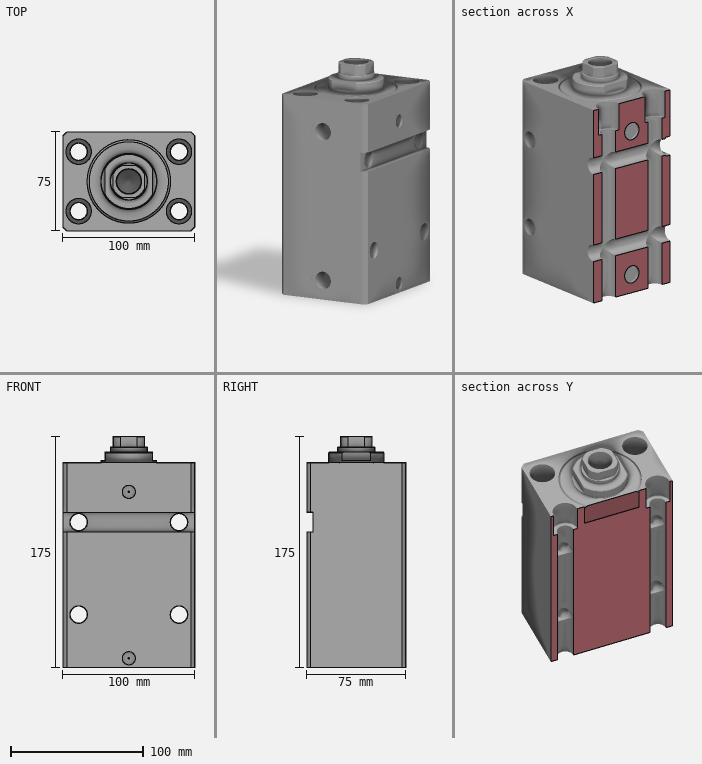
import cadquery as cq
import math

BLOCK_X = 100.0
BLOCK_Y = 75.0
BLOCK_Z = 155.0
CORNER_CHAMFER = 3.0

MOUNT_HOLE_D = 13.0
MOUNT_SPACING_X = 76.0
MOUNT_SPACING_Y = 45.0
COUNTERBORE_D = 19.2
COUNTERBORE_DEPTH = 21.0
LOWER_CROSS_Z = 40.0
UPPER_CROSS_Z = 110.0

SLOT_HEIGHT = 14.9
SLOT_DEPTH = 4.7

SIDE_PORT_HEIGHTS = (14.9, 130.0)
SIDE_PORT_D = 13.5
SIDE_PORT_DEPTH = 14.0
SPOTFACE_D = 20.0
SPOTFACE_DEPTH = 0.09

FRONT_PORT_HEIGHTS = (7.0, 133.0)
FRONT_PORT_D = 10.0
FRONT_PORT_DEPTH = 2.0
FEED_HOLE_D = 1.0
FEED_HOLE_LENGTH = 3.5

GLAND_D = 63.2
GLAND_THICKNESS = 17.5
GLAND_CHAMFER = 1.5
LIP_WIDTH = 0.26
LIP_HEIGHT = 0.4
GLAND_BOTTOM_Z = BLOCK_Z - GLAND_THICKNESS

ROD_TOP_Z = 175.0
SHAFT_D = 42.0
SHAFT_PROJECTION = 8.0
SHAFT_CHAMFER = 0.5
SHAFT_FLATS = 36.0
SHAFT_FLATS_RISE = 1.5
NECK_D = 28.2
NECK_CHAMFER = 0.2
HEAD_D = 27.0
HEAD_FLATS = 24.0
HEAD_HEIGHT = 8.2
HEAD_CHAMFER = 0.4
SHAFT_TOP_Z = BLOCK_Z + SHAFT_PROJECTION
NECK_TOP_Z = ROD_TOP_Z - HEAD_HEIGHT

ROD_HOLE_D = 18.5
ROD_HOLE_DEPTH = 24.5
ROD_HOLE_CHAMFER = 0.4
DRILL_ANGLE = 118.0


def cylinder(diameter, bottom_z, top_z):
    """Upright cylinder on the Z axis."""
    return cq.Workplane("XY", origin=(0, 0, bottom_z)).circle(diameter / 2).extrude(top_z - bottom_z)


def bar(width_x, width_y, bottom_z, top_z):
    """Upright rectangular bar centred on the Z axis."""
    return cq.Workplane("XY", origin=(0, 0, bottom_z)).rect(width_x, width_y).extrude(top_z - bottom_z)


def port(plane, origin, inward, diameter, depth):
    """Flat-bottomed port with a feed hole; `inward` is the sign of the plane normal into the block."""
    start = cq.Workplane(plane, origin=origin)
    bore = start.circle(diameter / 2).extrude(inward * depth)
    feed = start.circle(FEED_HOLE_D / 2).extrude(inward * (depth + FEED_HOLE_LENGTH))
    return bore.union(feed)


def cross_holes():
    """Four holes through the block along Y: a lower and an upper one at each side."""
    half_spacing = MOUNT_SPACING_X / 2
    centres = [(x, z) for x in (-half_spacing, half_spacing) for z in (LOWER_CROSS_Z, UPPER_CROSS_Z)]
    return cq.Workplane("XZ").pushPoints(centres).circle(MOUNT_HOLE_D / 2).extrude(BLOCK_Y, both=True)


def key_slot():
    """Slot across the whole width of the front face."""
    slot = cq.Workplane("XY").box(BLOCK_X, SLOT_DEPTH, SLOT_HEIGHT)
    return slot.translate((0, (SLOT_DEPTH - BLOCK_Y) / 2, UPPER_CROSS_Z))


def make_housing():
    body = bar(BLOCK_X, BLOCK_Y, 0, BLOCK_Z).edges("|Z").chamfer(CORNER_CHAMFER)
    body = (
        body.faces(">Z")
        .workplane(origin=(0, 0, BLOCK_Z))
        .rarray(MOUNT_SPACING_X, MOUNT_SPACING_Y, 2, 2)
        .cboreHole(MOUNT_HOLE_D, COUNTERBORE_D, COUNTERBORE_DEPTH)
    )
    body = body.cut(cross_holes()).cut(key_slot())

    for z in SIDE_PORT_HEIGHTS:
        mouth = (-BLOCK_X / 2, 0, z)
        spotface = cq.Workplane("YZ", origin=mouth).circle(SPOTFACE_D / 2).extrude(SPOTFACE_DEPTH)
        body = body.cut(spotface).cut(port("YZ", mouth, 1, SIDE_PORT_D, SIDE_PORT_DEPTH))

    for z in FRONT_PORT_HEIGHTS:
        mouth = (0, -BLOCK_Y / 2, z)
        body = body.cut(port("XZ", mouth, -1, FRONT_PORT_D, FRONT_PORT_DEPTH))

    return body.cut(cylinder(GLAND_D, GLAND_BOTTOM_Z, BLOCK_Z))


def make_gland():
    disc = cylinder(GLAND_D, GLAND_BOTTOM_Z, BLOCK_Z).faces(">Z").chamfer(GLAND_CHAMFER)
    lip_top_z = BLOCK_Z + LIP_HEIGHT
    lip = cylinder(SHAFT_D + 2 * LIP_WIDTH, BLOCK_Z, lip_top_z)
    return disc.union(lip).cut(cylinder(SHAFT_D, GLAND_BOTTOM_Z, lip_top_z))


def rod_shaft():
    """Shaft that fills the gland, with two wrench flats facing -X and +X on its upper end."""
    flats_bottom_z = BLOCK_Z + SHAFT_FLATS_RISE
    round_part = cylinder(SHAFT_D, GLAND_BOTTOM_Z, flats_bottom_z)
    flat_part = (
        cylinder(SHAFT_D, flats_bottom_z, SHAFT_TOP_Z)
        .faces(">Z")
        .chamfer(SHAFT_CHAMFER)
        .intersect(bar(SHAFT_FLATS, SHAFT_D, flats_bottom_z, SHAFT_TOP_Z))
    )
    return round_part.union(flat_part)


def rod_head():
    """Square head with rounded corners, chamfered at the top."""
    blank = cylinder(HEAD_D, NECK_TOP_Z, ROD_TOP_Z).faces(">Z").chamfer(HEAD_CHAMFER)
    return blank.intersect(bar(HEAD_FLATS, HEAD_FLATS, NECK_TOP_Z, ROD_TOP_Z))


def rod_hole():
    """Drilled hole with a chamfered mouth and a conical bottom, as a solid of revolution."""
    radius = ROD_HOLE_D / 2
    mouth_radius = radius + ROD_HOLE_CHAMFER
    floor_z = ROD_TOP_Z - ROD_HOLE_DEPTH
    tip_z = floor_z - radius / math.tan(math.radians(DRILL_ANGLE / 2))
    outline = [
        (0, tip_z),
        (radius, floor_z),
        (radius, ROD_TOP_Z - ROD_HOLE_CHAMFER),
        (mouth_radius, ROD_TOP_Z),
        (0, ROD_TOP_Z),
    ]
    return cq.Workplane("XZ").polyline(outline).close().revolve(360, (0, 0), (0, 1))


def make_rod():
    neck = cylinder(NECK_D, SHAFT_TOP_Z, NECK_TOP_Z).faces(">Z").chamfer(NECK_CHAMFER)
    return rod_shaft().union(neck).union(rod_head()).cut(rod_hole())


housing = make_housing().solids()
gland = make_gland().solids()
rod = make_rod().solids()

result = cq.Compound.makeCompound([housing.val(), gland.val(), rod.val()])